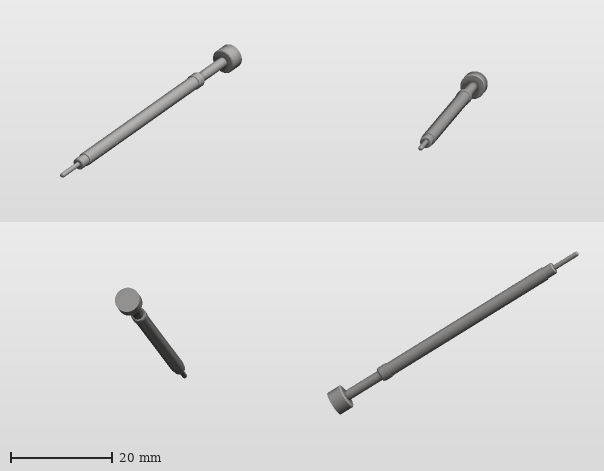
import cadquery as cq
import math

total_length = 57.9
head_length = 3.0
collar_start = 11.0
collar_end = 13.0
body_end = 49.95
tail_end = 52.2

head_diameter = 5.0
plunger_diameter = 2.0
collar_diameter = 3.0
body_diameter = 2.7
tail_diameter = 2.4
pin_diameter = 1.0

head_chamfer = 0.2
collar_chamfer_length = 0.35
collar_chamfer_depth = 0.2
tail_chamfer = 0.2
pin_tip_height = 0.35

dimple_stations = (40.65, 45.3)
dimple_diameter = 0.4
dimple_depth = 0.2

head_face_y = total_length / 2


def cylinder(diameter, start, end):
    """Cylinder on the Y axis between two distances from the head face."""
    return (
        cq.Workplane("XZ", origin=(0, head_face_y - start, 0))
        .circle(diameter / 2)
        .extrude(end - start)
    )


def make_head():
    return cylinder(head_diameter, 0, head_length).faces("<Y").chamfer(head_chamfer)


def make_collar():
    collar = cylinder(collar_diameter, collar_start, collar_end)
    return collar.faces(">Y").chamfer(collar_chamfer_length, collar_chamfer_depth)


def make_tail():
    return cylinder(tail_diameter, body_end, tail_end).faces("<Y").chamfer(tail_chamfer)


def make_pin():
    """Contact pin closed by a shallow spherical dome."""
    radius = pin_diameter / 2
    root_y = head_face_y - body_end
    tip_y = head_face_y - total_length
    shoulder_y = tip_y + pin_tip_height
    dome_radius = (radius**2 + pin_tip_height**2) / (2 * pin_tip_height)
    half_angle = math.asin(radius / dome_radius) / 2
    mid_point = (
        dome_radius * math.sin(half_angle),
        tip_y + dome_radius * (1 - math.cos(half_angle)),
    )
    return (
        cq.Workplane("XY")
        .moveTo(0, root_y)
        .lineTo(radius, root_y)
        .lineTo(radius, shoulder_y)
        .threePointArc(mid_point, (0, tip_y))
        .close()
        .revolve(360, (0, 0, 0), (0, 1, 0))
    )


def make_dimple(station, side):
    """Cone, apex inward, for a dimple on the -X (side = -1) or +X (side = 1) flank."""
    apex_x = body_diameter / 2 - dimple_depth
    cone = cq.Solid.makeCone(
        0,
        dimple_diameter,
        2 * dimple_depth,
        pnt=cq.Vector(side * apex_x, head_face_y - station, 0),
        dir=cq.Vector(side, 0, 0),
    )
    return cq.Workplane(obj=cone)


plunger = cylinder(plunger_diameter, head_length, collar_start)
body = cylinder(body_diameter, collar_end, body_end)
for station in dimple_stations:
    for side in (-1, 1):
        body = body.cut(make_dimple(station, side))

result = make_head()
for section in (plunger, make_collar(), body, make_tail(), make_pin()):
    result = result.union(section)